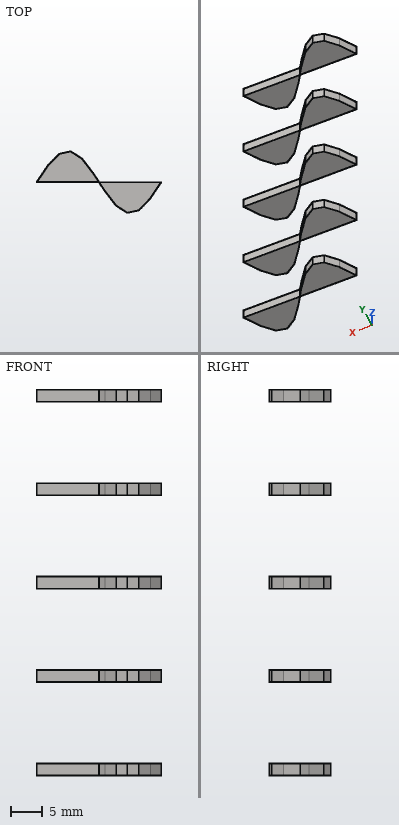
import cadquery as cq
import math

stack_height = 62.0
plate_count = 5
plate_thickness = 2.0
wave_length = 20.0
wave_amplitude = wave_length / 4
segment_count = 11
neck_half_width = 0.03

plate_pitch = (stack_height - plate_thickness) / (plate_count - 1)


def wave_point(index):
    """Corner of the faceted sine wave, counted from the left end."""
    fraction = index / segment_count
    return (wave_length * fraction, wave_amplitude * math.sin(2 * math.pi * fraction))


def wave_plate(base_height):
    """Plate with an upper and a lower lobe between the faceted wave and its axis."""
    left_end = (0, 0)
    right_end = (wave_length, 0)
    middle = wave_length / 2
    last_upper = segment_count // 2
    upper_lobe = [wave_point(i) for i in range(1, last_upper + 1)]
    lower_lobe = [wave_point(i) for i in range(segment_count - 1, last_upper, -1)]

    outline = [
        left_end,
        *upper_lobe,
        (middle + neck_half_width, 0),
        right_end,
        *lower_lobe,
        (middle - neck_half_width, 0),
    ]
    plate = cq.Workplane("XY").workplane(offset=base_height)
    return plate.polyline(outline).close().extrude(plate_thickness)


wave_plates = [wave_plate(level * plate_pitch) for level in range(plate_count)]

result = cq.Compound.makeCompound([plate.val() for plate in wave_plates])